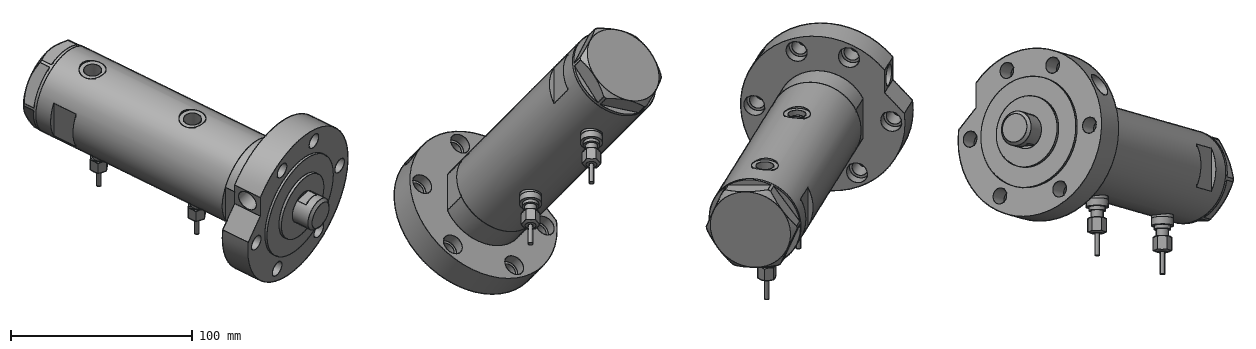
import cadquery as cq
import math


cap_flange_x = 9.1
barrel_x = 10.8
neck_x = 137.8
flange_x = 153.1
flange_end_x = 170.5
spigot_end_x = 172.0
gland_end_x = 173.7
rod_flat_end_x = 179.7
rod_end_x = 186.0

overall_height = 105.3

half_hexagon_side_angle = math.radians(30)

barrel_radius = 26.0
flat_half_width = 23.0
flat_start_x = 20.8
flat_end_x = 36.0

flange_radius = 94.0 / 2
spigot_radius = 31.0
notch_wall_y = -35.3
notch_corner_z = 17.1
cross_hole_radius = 12.0 / 2
cross_hole_z = 24.0
bolt_circle_radius = 39.0
bolt_angles = (0, 67.5, 112.5, 180, 240, 300)
bolt_hole_radius = 4.5
bolt_counterbore_radius = 6.0
bolt_counterbore_depth = 6.3

port_positions_x = (30.5, 98.5)
port_radius = 9.9 / 2
port_spotface_radius = 7.5
port_spotface_z = math.sqrt(barrel_radius**2 - port_spotface_radius**2)

sensor_positions_x = (34.8, 101.5)
boss_radius = 6.1
boss_end_z = -27.2
collar_end_z = -31.3
shoulder_end_z = -33.3
shoulder_radius = 9.1 / 2
stem_end_z = -37.4
stem_radius = 6.9 / 2
nut_end_z = -46.0
nut_across_flats = 9.1
nut_end_radius = 3.0
nut_bevel = 1.0
cable_end_z = flange_radius - overall_height
cable_radius = 1.3

cap_across_flats = 46.0
cap_corner_angle = -7.3
cap_face_radius = 22.9
cap_bevel_length = 2.6
plug_radius = 15.0
plug_end_x = port_positions_x[0] + port_spotface_radius

gland_start_x = 101.8
gland_inner_radius = 22.0
gland_outer_radius = 19.9

rod_radius = 9.7
rod_flat_half_height = 8.2
rod_chamfer = 1.7


def axial_cylinder(radius, start_x, end_x):
    return cq.Workplane("YZ", origin=(start_x, 0, 0)).circle(radius).extrude(end_x - start_x)


def vertical_cylinder(radius, x, bottom_z, top_z):
    return cq.Workplane("XY", origin=(x, 0, bottom_z)).circle(radius).extrude(top_z - bottom_z)


def block(start_x, end_x, start_y, end_y, half_height):
    size = (end_x - start_x, end_y - start_y, 2 * half_height)
    return cq.Workplane("XY").box(*size, centered=(False, False, True)).translate((start_x, start_y, 0))


def make_flange():
    flange = axial_cylinder(flange_radius, flange_x, flange_end_x)
    thickness = flange_end_x - flange_x

    rim_overrun = flange_radius + notch_wall_y
    notch_outline = [
        (notch_wall_y, flange_radius),
        (notch_wall_y, notch_corner_z),
        (notch_wall_y - rim_overrun, notch_corner_z - rim_overrun),
        (notch_wall_y - rim_overrun, flange_radius),
    ]
    notch = cq.Workplane("YZ", origin=(flange_x, 0, 0)).polyline(notch_outline).close().extrude(thickness)

    middle_x = (flange_x + flange_end_x) / 2
    cross_hole = (
        cq.Workplane("XZ", origin=(middle_x, 0, cross_hole_z))
        .circle(cross_hole_radius)
        .extrude(flange_radius, both=True)
    )
    flange = flange.cut(notch).cut(cross_hole)

    for angle in bolt_angles:
        y = bolt_circle_radius * math.cos(math.radians(angle))
        z = bolt_circle_radius * math.sin(math.radians(angle))
        hole = axial_cylinder(bolt_hole_radius, flange_x, flange_end_x)
        counterbore = axial_cylinder(bolt_counterbore_radius, flange_x, flange_x + bolt_counterbore_depth)
        flange = flange.cut(hole.union(counterbore).translate((0, y, z)))
    return flange.union(axial_cylinder(spigot_radius, flange_end_x, spigot_end_x))


def cut_wrench_flats(body, start_x, end_x):
    """Cut a flat on the +Y side and another on the -Y side."""
    body = body.cut(block(start_x, end_x, flat_half_width, barrel_radius, barrel_radius))
    return body.cut(block(start_x, end_x, -barrel_radius, -flat_half_width, barrel_radius))


def make_barrel():
    barrel = axial_cylinder(barrel_radius, barrel_x, neck_x)
    barrel = cut_wrench_flats(barrel, flat_start_x, flat_end_x)

    for x in sensor_positions_x:
        barrel = barrel.union(vertical_cylinder(boss_radius, x, boss_end_z, -gland_inner_radius))

    for x in port_positions_x:
        barrel = barrel.cut(vertical_cylinder(port_spotface_radius, x, port_spotface_z, barrel_radius))
        barrel = barrel.cut(vertical_cylinder(port_radius, x, 0, barrel_radius))

    bore_steps = (
        (plug_radius, barrel_x, plug_end_x),
        (rod_radius, plug_end_x, gland_start_x),
        (gland_inner_radius, gland_start_x, neck_x),
    )
    for radius, start_x, end_x in bore_steps:
        barrel = barrel.cut(axial_cylinder(radius, start_x, end_x))
    return barrel


def make_head():
    neck = axial_cylinder(barrel_radius, neck_x, flange_x)
    neck = cut_wrench_flats(neck, neck_x, flange_x)
    bore = axial_cylinder(gland_outer_radius, neck_x, spigot_end_x)
    return neck.union(make_flange()).cut(bore)


def make_end_cap():
    corner_diameter = cap_across_flats / math.cos(half_hexagon_side_angle)
    hexagon = (
        cq.Workplane("YZ")
        .polygon(6, corner_diameter)
        .extrude(cap_flange_x)
        .rotate((0, 0, 0), (1, 0, 0), cap_corner_angle)
    )
    envelope_outline = [
        (0, 0),
        (0, cap_face_radius),
        (cap_bevel_length, barrel_radius),
        (cap_flange_x, barrel_radius),
        (cap_flange_x, 0),
    ]
    envelope = cq.Workplane("XY").polyline(envelope_outline).close().revolve(360, (0, 0, 0), (1, 0, 0))
    head = hexagon.intersect(envelope)
    flange = axial_cylinder(barrel_radius, cap_flange_x, barrel_x)
    plug = axial_cylinder(plug_radius, barrel_x, plug_end_x)
    return head.union(flange).union(plug)


def make_gland():
    inner_part = axial_cylinder(gland_inner_radius, gland_start_x, neck_x)
    outer_part = axial_cylinder(gland_outer_radius, neck_x, gland_end_x)
    return inner_part.union(outer_part).cut(axial_cylinder(rod_radius, gland_start_x, gland_end_x))


def make_rod():
    rod = axial_cylinder(rod_radius, plug_end_x, rod_end_x).faces(">X").chamfer(rod_chamfer)

    upper_cut = block(gland_end_x, rod_flat_end_x, -rod_radius, rod_radius, rod_radius)
    upper_cut = upper_cut.translate((0, 0, rod_flat_half_height + rod_radius))
    return rod.cut(upper_cut).cut(upper_cut.mirror("XY"))


def make_sensor(x):
    collar = vertical_cylinder(boss_radius, x, collar_end_z, boss_end_z)
    shoulder = vertical_cylinder(shoulder_radius, x, shoulder_end_z, collar_end_z)
    stem = vertical_cylinder(stem_radius, x, stem_end_z, shoulder_end_z)
    cable = vertical_cylinder(cable_radius, x, cable_end_z, nut_end_z)

    corner_radius = nut_across_flats / 2 / math.cos(half_hexagon_side_angle)
    nut_height = stem_end_z - nut_end_z
    hexagon = cq.Workplane("XY", origin=(x, 0, nut_end_z)).polygon(6, 2 * corner_radius).extrude(nut_height)
    envelope_outline = [
        (0, nut_end_z),
        (nut_end_radius, nut_end_z),
        (corner_radius, nut_end_z + nut_bevel),
        (corner_radius, stem_end_z - nut_bevel / 2),
        (corner_radius - nut_bevel, stem_end_z),
        (0, stem_end_z),
    ]
    envelope = cq.Workplane("XZ").polyline(envelope_outline).close().revolve(360, (0, 0, 0), (0, 1, 0))
    nut = hexagon.intersect(envelope.translate((x, 0, 0)))
    return collar.union(shoulder).union(stem).union(nut).union(cable)


barrel = make_barrel()
head = make_head()
end_cap = make_end_cap()
gland = make_gland()
rod = make_rod()
sensors = [make_sensor(x) for x in sensor_positions_x]

result = cq.Compound.makeCompound(
    [barrel.val(), head.val(), end_cap.val(), gland.val(), rod.val(), *[sensor.val() for sensor in sensors]]
)